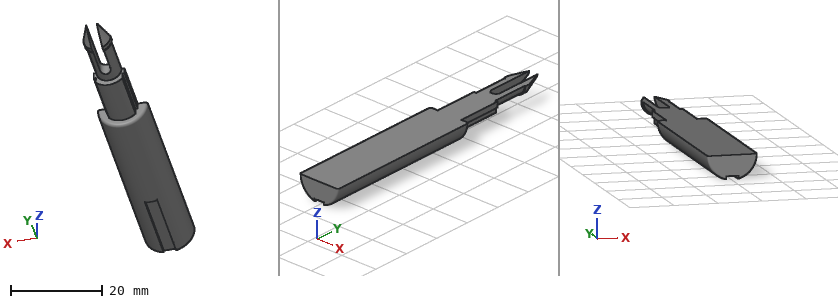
import cadquery as cq

length = 70.4
body_radius = 5.67
body_length = 42.95
body_front_fillet = 0.7
body_rear_fillet = 0.5

groove_width = 2.8
groove_floor_depth = 4.7
groove_length = 17.2

shank_length = 11.9
shank_radius = 4.15
shank_core_width = 6.0
shank_wing_width = 7.0
shank_wing_depth = 1.5

neck_radius = 2.85
head_radius = 3.1
head_band_length = 1.3
head_cone_length = 4.7
tip_radius = 1.3
fork_slot_width = 2.4
fork_slot_depth = 13.45

rear_y = -length / 2
tip_y = length / 2
shoulder_y = rear_y + body_length
shank_end_y = shoulder_y + shank_length
cone_base_y = tip_y - head_cone_length
head_base_y = cone_base_y - head_band_length


def box(width, y_start, y_end, z_bottom, z_top):
    """Box centred on X, between the given Y and Z limits."""
    depth = y_end - y_start
    return cq.Workplane("XY", origin=(0, (y_start + y_end) / 2, z_bottom)).box(
        width, depth, z_top - z_bottom, centered=(True, True, False)
    )


def cylinder(radius, y_start, y_end):
    """Full round about the Y axis."""
    return cq.Workplane("XZ", origin=(0, y_start, 0)).circle(radius).extrude(y_start - y_end)


def make_body():
    """Round body with softened ends and a flat groove under its rear end."""
    body = cylinder(body_radius, rear_y, shoulder_y)
    body = body.faces(">Y").edges().fillet(body_front_fillet)
    body = body.faces("<Y").edges().fillet(body_rear_fillet)
    groove = box(groove_width, rear_y, rear_y + groove_length, -body_radius, -groove_floor_depth)
    return body.cut(groove)


def make_shank():
    """Round shank with flattened sides and wider wings along its top."""
    core = cylinder(shank_radius, shoulder_y, shank_end_y)
    core = core.intersect(box(shank_core_width, shoulder_y, shank_end_y, -shank_radius, shank_radius))
    wings = box(shank_wing_width, shoulder_y, shank_end_y, -shank_wing_depth, 0)
    return core.union(wings)


def make_fork():
    """Turned neck and barbed conical head, split by a round-bottomed slot."""
    turned = (
        cq.Workplane("XY")
        .moveTo(0, shank_end_y)
        .lineTo(neck_radius, shank_end_y)
        .lineTo(neck_radius, head_base_y)
        .lineTo(head_radius, head_base_y)
        .lineTo(head_radius, cone_base_y)
        .lineTo(tip_radius, tip_y)
        .lineTo(0, tip_y)
        .close()
        .revolve(360, (0, 0, 0), (0, 1, 0))
    )
    slot_radius = fork_slot_width / 2
    slot_centre_y = tip_y - fork_slot_depth + slot_radius
    slot = box(fork_slot_width, slot_centre_y, tip_y, -head_radius, head_radius)
    slot_end = (
        cq.Workplane("XY", origin=(0, slot_centre_y, -head_radius))
        .circle(slot_radius)
        .extrude(2 * head_radius)
    )
    return turned.cut(slot).cut(slot_end)


lower_half = box(2 * body_radius, rear_y, tip_y, -body_radius, 0)
result = make_body().union(make_shank()).union(make_fork()).intersect(lower_half)